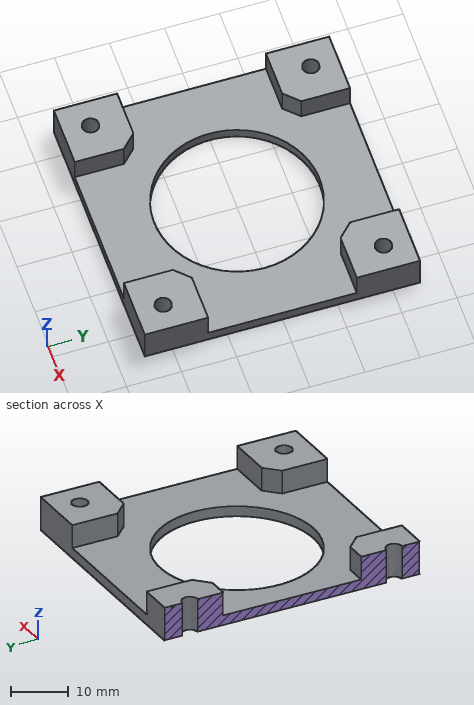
import cadquery as cq

plate_side = 50.0
plate_thickness = 2.0
total_height = 6.5
bore_diameter = 30.0
post_side = 11.5
post_chamfer = 2.6
screw_hole_diameter = 3.0
screw_hole_spacing = 40.0

half_side = plate_side / 2
post_inner = half_side - post_side
signs = (-1, 1)


def make_plate():
    """Square base plate resting on Z = 0."""
    return cq.Workplane("XY").box(
        plate_side, plate_side, plate_thickness, centered=(True, True, False)
    )


def make_post(x_sign, y_sign):
    """Full-height corner post whose inward vertical edge is chamfered."""
    outline = [
        (half_side, half_side),
        (post_inner, half_side),
        (post_inner, post_inner + post_chamfer),
        (post_inner + post_chamfer, post_inner),
        (half_side, post_inner),
    ]
    placed = [(x_sign * x, y_sign * y) for x, y in outline]
    return cq.Workplane("XY").polyline(placed).close().extrude(total_height)


def make_bore():
    """Cutter for the large central opening."""
    return cq.Workplane("XY").circle(bore_diameter / 2).extrude(total_height)


def make_screw_holes():
    """Cutters for the through holes, one in each corner post."""
    return (
        cq.Workplane("XY")
        .rect(screw_hole_spacing, screw_hole_spacing, forConstruction=True)
        .vertices()
        .circle(screw_hole_diameter / 2)
        .extrude(total_height)
    )


body = make_plate()
for x_side in signs:
    for y_side in signs:
        body = body.union(make_post(x_side, y_side))

result = body.cut(make_bore()).cut(make_screw_holes())